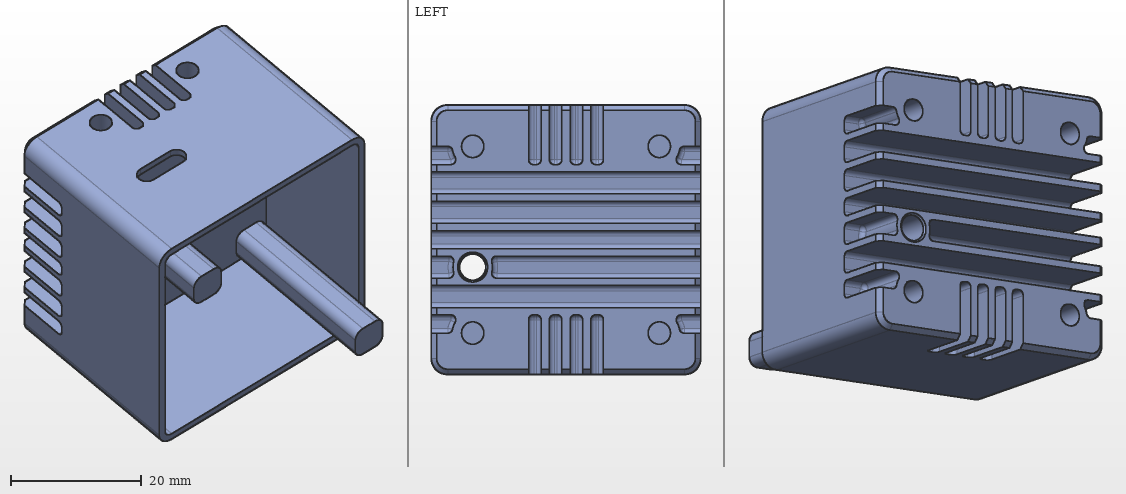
import cadquery as cq

SIDE = 41.25
TOTAL_LENGTH = 38.88
BODY_LENGTH = 32.65
CORNER_RADIUS = 2.5
BEVEL = 0.83
BEVEL_ANGLE = 45
WALL = 1.2

GROOVE_DEPTH = 9.6
GROOVE_FILLET = 0.8
FIN = 1.1
WIDE_GROOVE = 3.4
CENTRE_GROOVE = 2.75
CORNER_GROOVE = 2.8
SLIT_WIDTH = 1.95
SLIT_PITCH = 3.18
SLIT_COUNT = 4

MOUNT_DIAMETER = 3.43
MOUNT_DEPTH = 6.0
FACE_MOUNT_OFFSET = 14.3
TOP_MOUNT_X = 4.85
TOP_MOUNT_OFFSET = 8.7
MOUNT_BOSS_RADIUS = 3.15
PASSAGE_DIAMETER = 4.0
PASSAGE_CHAMFER = 0.3
PASSAGE_BOSS_RADIUS = 3.0

PORT_X = 17.95
PORT_Y = -7.65
PORT_WIDTH = 3.0
PORT_LENGTH = 9.0

POST_SIDE = 5.5
POST_RADIUS = 1.53
POST_OFFSET = 16.2

HALF = SIDE / 2
CAVITY_FLOOR = GROOVE_DEPTH + WALL
GROOVE_PITCH = WIDE_GROOVE + FIN
INNER_GROOVE_Z = (CENTRE_GROOVE + WIDE_GROOVE) / 2 + FIN
OUTER_GROOVE_Z = INNER_GROOVE_Z + GROOVE_PITCH
SIDE_POCKET_BASE = OUTER_GROOVE_Z + WIDE_GROOVE / 2 + FIN
SIDE_POCKET_Z = SIDE_POCKET_BASE + CORNER_GROOVE / 2
PASSAGE_Y = FACE_MOUNT_OFFSET
PASSAGE_Z = -INNER_GROOVE_Z
SIGNS = (-1, 1)


def span_box(x_range, y_range, z_range):
    """Box between the given low and high limits on each axis."""
    ranges = (x_range, y_range, z_range)
    size = [high - low for low, high in ranges]
    low_corner = [low for low, high in ranges]
    return cq.Workplane("XY").box(*size, centered=False).translate(tuple(low_corner))


def rounded_prism(x_start, length, side, radius, y=0, z=0, taper=0):
    """Rounded square bar along X."""
    square = cq.Sketch().rect(side, side).vertices().fillet(radius)
    plane = cq.Workplane("YZ", origin=(x_start, y, z))
    return plane.placeSketch(square).extrude(length, taper=taper)


def x_cylinder(radius, length, y, z):
    """Round bar along X that starts at the finned face."""
    return cq.Workplane("YZ", origin=(0, y, z)).circle(radius).extrude(length)


def housing():
    body = rounded_prism(BEVEL, BODY_LENGTH - BEVEL, SIDE, CORNER_RADIUS)
    bevel = rounded_prism(BEVEL, -BEVEL, SIDE, CORNER_RADIUS, taper=BEVEL_ANGLE)
    cavity = rounded_prism(
        CAVITY_FLOOR, BODY_LENGTH - CAVITY_FLOOR, SIDE - 2 * WALL, CORNER_RADIUS - WALL
    )
    return body.union(bevel).cut(cavity)


def through_groove(z, width):
    """Groove along the full width in Y, rounded along its floor."""
    groove = span_box((0, GROOVE_DEPTH), (-HALF, HALF), (z - width / 2, z + width / 2))
    return groove.edges(">X and |Y").fillet(GROOVE_FILLET)


def end_pocket(y_range, z, width, hole_y, hole_z, boss_radius):
    """Groove open at one side of the housing and ending in an arc around a hole."""
    pocket = span_box((0, GROOVE_DEPTH), y_range, (z - width / 2, z + width / 2))
    pocket = pocket.cut(x_cylinder(boss_radius, GROOVE_DEPTH, hole_y, hole_z))
    open_side = "<Y" if y_range[0] == -HALF else ">Y"
    pocket = pocket.edges(f"|X and (not {open_side})").fillet(GROOVE_FILLET)
    return pocket.faces(">X").edges(f"not {open_side}").fillet(GROOVE_FILLET)


def cut_horizontal_grooves(body):
    body = body.cut(through_groove(0, CENTRE_GROOVE))
    for z in (-OUTER_GROOVE_Z, INNER_GROOVE_Z, OUTER_GROOVE_Z):
        body = body.cut(through_groove(z, WIDE_GROOVE))
    for y_range in ((-HALF, PASSAGE_Y), (PASSAGE_Y, HALF)):
        body = body.cut(
            end_pocket(y_range, PASSAGE_Z, WIDE_GROOVE, PASSAGE_Y, PASSAGE_Z, PASSAGE_BOSS_RADIUS)
        )
    for y_sign in SIGNS:
        y_range = sorted((y_sign * FACE_MOUNT_OFFSET, y_sign * HALF))
        for z_sign in SIGNS:
            body = body.cut(
                end_pocket(
                    y_range,
                    z_sign * SIDE_POCKET_Z,
                    CORNER_GROOVE,
                    y_sign * FACE_MOUNT_OFFSET,
                    z_sign * FACE_MOUNT_OFFSET,
                    MOUNT_BOSS_RADIUS,
                )
            )
    return body


def cut_vertical_slits(body):
    slit = span_box(
        (0, GROOVE_DEPTH), (-SLIT_WIDTH / 2, SLIT_WIDTH / 2), (SIDE_POCKET_BASE, HALF)
    )
    slit = slit.edges("|X and <Z").fillet(GROOVE_FILLET)
    slit = slit.faces(">X").edges("not >Z").fillet(GROOVE_FILLET)
    for index in range(SLIT_COUNT):
        placed = slit.translate((0, (index - (SLIT_COUNT - 1) / 2) * SLIT_PITCH, 0))
        body = body.cut(placed).cut(placed.mirror("XY"))
    return body


def drill_holes(body):
    mount_radius = MOUNT_DIAMETER / 2
    for y_sign in SIGNS:
        for z_sign in SIGNS:
            body = body.cut(
                x_cylinder(
                    mount_radius, MOUNT_DEPTH, y_sign * FACE_MOUNT_OFFSET, z_sign * FACE_MOUNT_OFFSET
                )
            )
        top_mount = cq.Workplane("XY", origin=(TOP_MOUNT_X, y_sign * TOP_MOUNT_OFFSET, HALF))
        body = body.cut(top_mount.circle(mount_radius).extrude(-MOUNT_DEPTH))

    passage_radius = PASSAGE_DIAMETER / 2
    passage = x_cylinder(passage_radius, CAVITY_FLOOR, PASSAGE_Y, PASSAGE_Z)
    rim = cq.Solid.makeCone(
        passage_radius + PASSAGE_CHAMFER,
        passage_radius,
        PASSAGE_CHAMFER,
        cq.Vector(0, PASSAGE_Y, PASSAGE_Z),
        cq.Vector(1, 0, 0),
    )
    return body.cut(passage).cut(rim)


def cut_port(body):
    """Round-ended opening through the top wall, long in Y."""
    port = cq.Workplane("XY", origin=(PORT_X, PORT_Y, HALF))
    return body.cut(port.slot2D(PORT_LENGTH, PORT_WIDTH, 90).extrude(-WALL))


def add_posts(body):
    """Two posts in diagonally opposite corners."""
    for y_sign in SIGNS:
        post = rounded_prism(
            CAVITY_FLOOR,
            TOTAL_LENGTH - CAVITY_FLOOR,
            POST_SIDE,
            POST_RADIUS,
            y_sign * POST_OFFSET,
            -y_sign * POST_OFFSET,
        )
        body = body.union(post)
    return body


body = housing()
body = cut_horizontal_grooves(body)
body = cut_vertical_slits(body)
body = drill_holes(body)
body = cut_port(body)
result = add_posts(body)